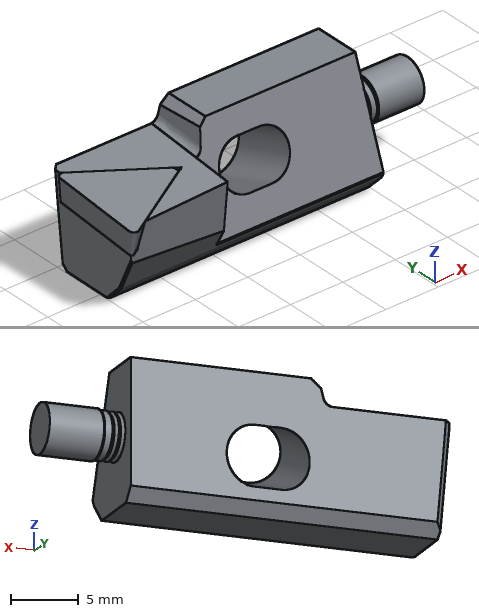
import cadquery as cq
import math


total_length = 32
shank_start = 10.0
shank_end = 25.95
shank_height = 11.0
shank_top_width = 4.3
shank_lean = 0.372
slant_end_z = 2.15
bottom_width = 5.82
lower_break_y = -7.35
lower_break_z = 1.6
lower_bevel_slope = 0.526
back_bevel_width = 0.95
back_bevel_height = 1.05

nose_top_z = 9.0
top_slope = 0.095
nose_limit_y = -10.55
nose_side_z = 8.1
nose_tip_y = -9.38
nose_root_y = -8.9
side_relief = 0.1
front_top_x = 0.4
front_break_x = 0.6
front_break_z = 6.2
front_bottom_x = 1.15
front_corner_bevel = 0.48
front_edge_bevel = 0.13

step_radius = 0.77
step_fillet_x = 9.85
step_wall_angle = 75
step_chamfer_x = 10.9
step_chamfer_z = 10.4
step_top_x = 11.6

slot_x = 15.0
slot_z = 6.7
slot_radius = 2.25
slot_center_spacing = 2.1

stud_y = -2.98
stud_z = 5.63
head_radius = 2.0
neck_radius = 1.9
head_start = 27.68
head_lip = 0.13
groove_pitch = 0.5
groove_depth = 0.22
groove_count = 2

insert_side = 9.6
insert_center_y = -5.55
insert_thickness = 2.35
insert_relief = 7
insert_corner_radius = 0.45

margin = 3.2
tilt_axis = cq.Vector(0, 1, top_slope)


def sweep(points, direction):
    """Solid swept in a straight line from a closed outline."""
    wire = cq.Wire.makePolygon([cq.Vector(*p) for p in points], close=True)
    return cq.Workplane(cq.Solid.extrudeLinear(wire, [], direction))


def slanted_face_y(z):
    return -shank_top_width - shank_lean * (shank_height - z)


def lower_bevel_z(y):
    return lower_break_z + (lower_break_y - y) / lower_bevel_slope


def cross_section_bar(upper_points, start, end):
    """Bar along X with the shared lower bevels and its own upper outline."""
    outline = [
        (0, back_bevel_height),
        (-back_bevel_width, 0),
        (-bottom_width, 0),
        (lower_break_y, lower_break_z),
    ] + upper_points
    return sweep([(start, y, z) for y, z in outline], cq.Vector(end - start, 0, 0))


def make_shank():
    slant_end_y = slanted_face_y(slant_end_z)
    upper = [
        (slant_end_y, lower_bevel_z(slant_end_y)),
        (slant_end_y, slant_end_z),
        (-shank_top_width, shank_height),
        (0, shank_height),
    ]
    return cross_section_bar(upper, shank_start, shank_end).cut(step_cutter())


def step_cutter():
    """Space above the nose: fillet, steep wall and chamfer, tilted with the nose top."""
    start_y = nose_limit_y
    drop = top_slope * start_y
    wall_angle = math.radians(step_wall_angle)
    wall_height = shank_height + margin - nose_top_z

    def fillet_point(angle):
        return (
            step_fillet_x + step_radius * math.sin(angle),
            nose_top_z + step_radius * (1 - math.cos(angle)),
        )

    wall_foot = fillet_point(wall_angle)
    wall = (
        cq.Workplane("XZ", origin=(0, start_y, drop))
        .moveTo(shank_start - margin, nose_top_z)
        .lineTo(step_fillet_x, nose_top_z)
        .threePointArc(fillet_point(wall_angle / 2), wall_foot)
        .line(wall_height / math.tan(wall_angle), wall_height)
        .lineTo(shank_start - margin, wall_foot[1] + wall_height)
        .close()
    )
    cutter = cq.Workplane(
        cq.Solid.extrudeLinear(wall.val(), [], tilt_axis * (margin - start_y))
    )
    run = step_top_x - step_chamfer_x
    rise = shank_height - step_chamfer_z
    chamfer = sweep(
        [
            (step_chamfer_x - run, start_y, step_chamfer_z - rise),
            (step_top_x + run, start_y, shank_height + rise),
            (step_chamfer_x - run, start_y, shank_height + rise),
        ],
        cq.Vector(0, margin - start_y, 0),
    )
    return cutter.union(chamfer)


def front_cutter(start_y, shift_x, direction):
    """Space ahead of the two relieved front planes."""
    drop = top_slope * start_y
    upper_lean = (front_break_x - front_top_x) / (nose_top_z - front_break_z)
    lower_lean = (front_bottom_x - front_break_x) / front_break_z
    outline = [
        (front_top_x - upper_lean * margin, nose_top_z + margin),
        (front_break_x, front_break_z),
        (front_bottom_x + lower_lean * margin, -margin),
        (-3 * margin, -margin),
        (-3 * margin, nose_top_z + margin),
    ]
    return sweep([(x + shift_x, start_y, z + drop) for x, z in outline], direction)


def make_nose():
    upper = [
        (nose_limit_y, lower_bevel_z(nose_limit_y)),
        (nose_limit_y, nose_top_z + top_slope * nose_limit_y),
        (0, nose_top_z),
    ]
    nose = cross_section_bar(upper, 0, shank_start)

    side_top_z = nose_side_z + margin
    lean = side_relief * margin
    outer_y = nose_limit_y - margin
    side = sweep(
        [
            (0, nose_tip_y - lean, side_top_z),
            (shank_start, nose_root_y - lean, side_top_z),
            (shank_start, outer_y, side_top_z),
            (0, outer_y, side_top_z),
        ],
        cq.Vector(0, side_relief, -1) * side_top_z,
    )
    nose = nose.cut(side)

    nose = nose.cut(front_cutter(nose_limit_y, 0, tilt_axis * (margin - nose_limit_y)))
    bevel_reach = front_corner_bevel + margin
    bevel = front_cutter(
        -bevel_reach, -margin, cq.Vector(1, 1, top_slope) * (bevel_reach + margin)
    )
    nose = nose.cut(bevel)

    lower_front_top_z = lower_bevel_z(nose_root_y)
    lower_front = cq.selectors.BoxSelector(
        (0, nose_limit_y, 0),
        (front_bottom_x, -bottom_width, lower_front_top_z),
    )
    return nose.edges(lower_front).chamfer(front_edge_bevel)


def slot_cutter():
    face_normal = cq.Vector(0, -1, shank_lean)
    plane = cq.Plane(
        origin=(slot_x, slanted_face_y(slot_z), slot_z), xDir=(1, 0, 0), normal=face_normal
    )
    return (
        cq.Workplane(plane)
        .slot2D(slot_center_spacing + 2 * slot_radius, 2 * slot_radius)
        .extrude(3 * margin, both=True)
    )


def make_stud():
    """Headed stud with ring grooves standing for the visible thread turns."""
    profile = cq.Workplane("XY").moveTo(shank_end, 0).lineTo(shank_end, neck_radius)
    for i in range(groove_count):
        groove_x = shank_end + i * groove_pitch
        profile = profile.lineTo(groove_x + groove_pitch / 2, neck_radius - groove_depth)
        profile = profile.lineTo(groove_x + groove_pitch, neck_radius)
    return (
        profile.lineTo(head_start - head_lip, neck_radius)
        .lineTo(head_start, head_radius)
        .lineTo(total_length, head_radius)
        .lineTo(total_length, 0)
        .close()
        .revolve(360, (0, 0, 0), (1, 0, 0))
        .translate((0, stud_y, stud_z))
    )


def insert_prism(corner_radius):
    """Triangular prism narrowing downward, its top flush with the nose top."""
    top_z = nose_top_z + top_slope * insert_center_y
    plane = cq.Plane(
        origin=(0, insert_center_y, top_z), xDir=(1, 0, 0), normal=(0, top_slope, -1)
    )
    half_side = insert_side / 2
    triangle_height = half_side * math.sqrt(3)
    sketch = cq.Sketch().polygon(
        [(0, -half_side), (triangle_height, 0), (0, half_side), (0, -half_side)]
    )
    if corner_radius > 0:
        sketch = sketch.vertices().fillet(corner_radius)
    return cq.Workplane(plane).placeSketch(sketch).extrude(insert_thickness, taper=insert_relief)


def make_holder():
    holder = make_shank().union(make_nose())
    holder = holder.cut(slot_cutter()).union(make_stud())
    return holder.cut(insert_prism(0))


holder = make_holder()
insert = insert_prism(insert_corner_radius)

result = cq.Compound.makeCompound([holder.solids().val(), insert.solids().val()])